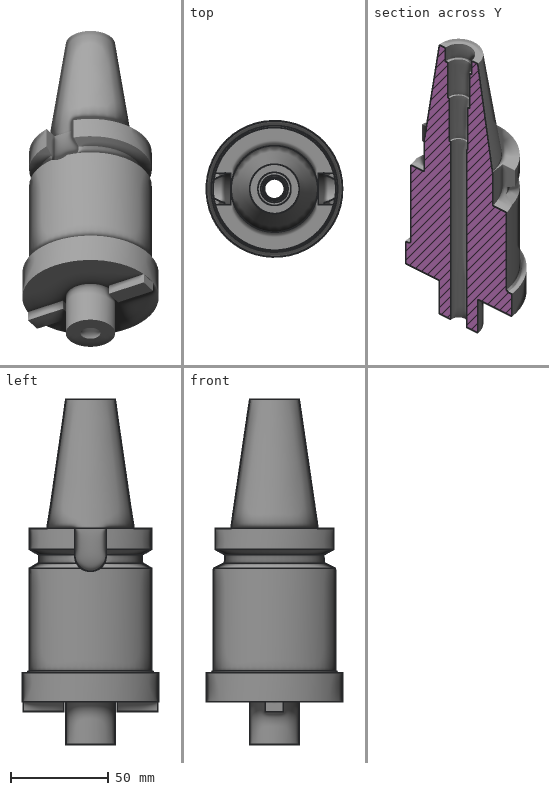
import cadquery as cq
import math


GAUGE_DIAMETER = 44.45
TAPER_LENGTH = 65.4
TAPER_RATIO = 7 / 24
TAPER_TOP_RADIUS = (GAUGE_DIAMETER - TAPER_LENGTH * TAPER_RATIO) / 2

FLANGE_RADIUS = 63 / 2
FLANGE_TOP_Z = -1.0
GROOVE_RADIUS = 53.3 / 2
GROOVE_CENTER_Z = -16.6
GROOVE_FLOOR_WIDTH = 4.3
GROOVE_SIDE_ANGLE = 30
GROOVE_SIDE_HEIGHT = (FLANGE_RADIUS - GROOVE_RADIUS) * math.tan(math.radians(GROOVE_SIDE_ANGLE))
GROOVE_FLOOR_HALF = GROOVE_FLOOR_WIDTH / 2
GROOVE_MOUTH_HALF = GROOVE_FLOOR_HALF + GROOVE_SIDE_HEIGHT

SLOT_WIDTH = 16.1
SLOT_FLOOR_X = 22.5
SLOT_BOTTOM_Z = -23.0
SLOT_OVERCUT = 1.0

FLARE_TOP_Z = -74.0
FLARE_RADIUS = 65 / 2

COLLAR_RADIUS = 70 / 2
COLLAR_TOP_Z = -75.0
COLLAR_BOTTOM_Z = -90.0
SPIGOT_RADIUS = 25.4 / 2
SPIGOT_END_Z = -112.0

KEY_WIDTH = 9.3
KEY_HEIGHT = 5.0
KEY_INNER_Y = 13.7
KEY_OUTER_Y = 34.6

MOUTH_RADIUS = 17 / 2
MOUTH_DEPTH = 9.0
THREAD_RADIUS = 14 / 2
THREAD_DEPTH = 32.0
UPPER_BORE_RADIUS = 12 / 2
UPPER_BORE_DEPTH = 60.0
BORE_RADIUS = 10.2 / 2


def make_body():
    """Turned outline from the end of the spigot to the small end of the taper."""
    outline = [
        (0, SPIGOT_END_Z),
        (SPIGOT_RADIUS, SPIGOT_END_Z),
        (SPIGOT_RADIUS, COLLAR_BOTTOM_Z),
        (COLLAR_RADIUS, COLLAR_BOTTOM_Z),
        (COLLAR_RADIUS, COLLAR_TOP_Z),
        (FLARE_RADIUS, COLLAR_TOP_Z),
        (FLANGE_RADIUS, FLARE_TOP_Z),
        (FLANGE_RADIUS, GROOVE_CENTER_Z - GROOVE_MOUTH_HALF),
        (GROOVE_RADIUS, GROOVE_CENTER_Z - GROOVE_FLOOR_HALF),
        (GROOVE_RADIUS, GROOVE_CENTER_Z + GROOVE_FLOOR_HALF),
        (FLANGE_RADIUS, GROOVE_CENTER_Z + GROOVE_MOUTH_HALF),
        (FLANGE_RADIUS, FLANGE_TOP_Z),
        (GAUGE_DIAMETER / 2, FLANGE_TOP_Z),
        (GAUGE_DIAMETER / 2, 0),
        (TAPER_TOP_RADIUS, TAPER_LENGTH),
        (0, TAPER_LENGTH),
    ]
    return cq.Workplane("XZ").polyline(outline).close().revolve(360, (0, 0), (0, 1))


def make_bore():
    """Stepped hole through the whole part."""
    bore = cq.Workplane("XY").workplane(offset=SPIGOT_END_Z)
    bore = bore.circle(BORE_RADIUS).extrude(TAPER_LENGTH - SPIGOT_END_Z)
    steps = [
        (MOUTH_RADIUS, MOUTH_DEPTH),
        (THREAD_RADIUS, THREAD_DEPTH),
        (UPPER_BORE_RADIUS, UPPER_BORE_DEPTH),
    ]
    for radius, depth in steps:
        step = cq.Workplane("XY").workplane(offset=TAPER_LENGTH - depth)
        bore = bore.union(step.circle(radius).extrude(depth))
    return bore


def make_drive_slot(side):
    """Round-bottomed slot cutter with a flat floor; side is +1 or -1 along X."""
    half = SLOT_WIDTH / 2
    arc_center_z = SLOT_BOTTOM_Z + half
    return (
        cq.Workplane("YZ")
        .workplane(offset=side * SLOT_FLOOR_X)
        .moveTo(-half, FLANGE_TOP_Z)
        .lineTo(-half, arc_center_z)
        .threePointArc((0, SLOT_BOTTOM_Z), (half, arc_center_z))
        .lineTo(half, FLANGE_TOP_Z)
        .close()
        .extrude(side * (FLANGE_RADIUS - SLOT_FLOOR_X + SLOT_OVERCUT))
    )


def make_key(side):
    """Rectangular drive key under the collar; side is +1 or -1 along Y."""
    return (
        cq.Workplane("XY")
        .workplane(offset=COLLAR_BOTTOM_Z - KEY_HEIGHT)
        .center(0, side * (KEY_INNER_Y + KEY_OUTER_Y) / 2)
        .rect(KEY_WIDTH, KEY_OUTER_Y - KEY_INNER_Y)
        .extrude(KEY_HEIGHT)
    )


result = make_body().cut(make_bore())
for side in (1, -1):
    result = result.cut(make_drive_slot(side))
    result = result.union(make_key(side))